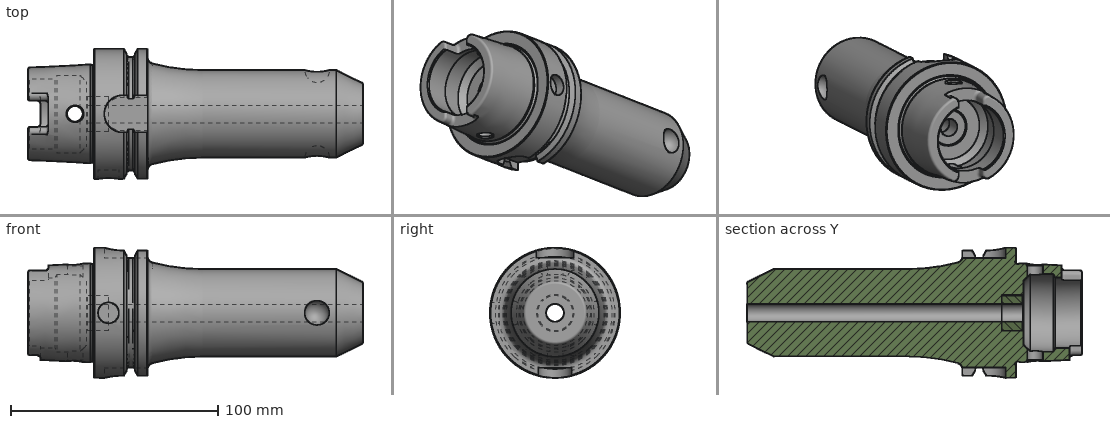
import cadquery as cq
import math


cutter_margin = 1.0

shank_length = 31.9
reach = 130.0
flange_width = 26.0
x_shank_end = -shank_length

taper_large_radius = 24.0
taper_large_x = -1.8
taper_slope = 1 / 20
taper_small_radius = taper_large_radius - taper_slope * (shank_length + taper_large_x)
shank_nose_fillet = 1.2
relief_radius = 23.6
relief_runout = 0.9
relief_land = 0.4
face_recess_radius = 25.3
face_recess_depth = 0.5

flange_radius = 31.5
flange_chamfer = 0.4
groove_center_x = 17.8
groove_floor_radius = 27.5
groove_half_width = 1.875
groove_shoulder_radius = 28.9
groove_flare_angle = 30
groove_flare = (flange_radius - groove_shoulder_radius) * math.tan(math.radians(groove_flare_angle))
groove_floor_fillet = 0.9

body_radius = 21.2
body_start_x = 52.5
neck_curve_radius = 95.0
neck_fillet = 2.9
nose_start_x = 117.0
nose_end_radius = 14.8
nose_fillet = 1.3

bore_radius = 17.0
bore_chamfer = 0.6
bore_lip_length = 13.0
undercut_radius = 18.75
undercut_angle = 60
undercut_runout = (undercut_radius - bore_radius) / math.tan(math.radians(undercut_angle))
bore_floor_radius = 15.6
bore_floor_cone = undercut_radius - bore_floor_radius
bore_depth = 28.2

socket_radius = 8.5
socket_chamfer = 0.5
plug_length = 10.0
passage_radius = 4.25

drive_slot_half_width = 6.25
drive_slot_depths = {1: 9.9, -1: 6.0}
drive_slot_round = 2.5
rolloff_allowance = 0.1
drive_slot_rolloff_radius = taper_small_radius + rolloff_allowance
drive_slot_floor_fillet = 1.5

key_slot_floor = 26.5
key_slot_start_x = 5.0
key_slot_widths = {1: 18.0, -1: 16.0}

access_hole_x = -9.2
access_hole_radius = 3.75
access_hole_chamfer = 0.5
chip_hole_x = 7.0
chip_hole_radius = 5.05
chip_hole_depth = 4.6
dimple_x = 107.7
dimple_radius = 5.95


def revolve_about_x(profile):
    return profile.close().revolve(360, (0, 0, 0), (1, 0, 0))


def outer_blank():
    """Solid of revolution; the neck curve meets the flange face through a tangent fillet."""
    neck_center_r = body_radius + neck_curve_radius
    fillet_center_x = flange_width + neck_fillet
    centers_dx = body_start_x - fillet_center_x
    centers_dr = math.sqrt((neck_curve_radius - neck_fillet) ** 2 - centers_dx**2)
    fillet_center_r = neck_center_r - centers_dr
    tangent_angle = math.atan2(centers_dr, centers_dx)

    def neck_point(angle):
        return (body_start_x - neck_curve_radius * math.cos(angle),
                neck_center_r - neck_curve_radius * math.sin(angle))

    def fillet_point(angle):
        return (fillet_center_x - neck_fillet * math.cos(angle),
                fillet_center_r - neck_fillet * math.sin(angle))

    profile = (
        cq.Workplane("XZ")
        .moveTo(x_shank_end, 0)
        .lineTo(x_shank_end, taper_small_radius)
        .lineTo(taper_large_x, taper_large_radius)
        .lineTo(taper_large_x + relief_runout, relief_radius)
        .lineTo(taper_large_x + relief_runout + relief_land, relief_radius)
        .lineTo(face_recess_depth, relief_radius + 2 * face_recess_depth)
        .lineTo(face_recess_depth, face_recess_radius - face_recess_depth)
        .lineTo(0, face_recess_radius)
        .lineTo(0, flange_radius - flange_chamfer)
        .lineTo(flange_chamfer, flange_radius)
        .lineTo(flange_width - flange_chamfer, flange_radius)
        .lineTo(flange_width, flange_radius - flange_chamfer)
        .lineTo(*fillet_point(0))
        .threePointArc(fillet_point(tangent_angle / 2), fillet_point(tangent_angle))
        .threePointArc(neck_point((tangent_angle + math.pi / 2) / 2), (body_start_x, body_radius))
        .lineTo(nose_start_x, body_radius)
        .lineTo(reach, nose_end_radius)
        .lineTo(reach, 0)
    )
    return revolve_about_x(profile).faces(">X").edges().fillet(nose_fillet)


def gripper_groove():
    outer_half_width = groove_half_width + groove_flare
    profile = (
        cq.Workplane("XZ")
        .moveTo(groove_center_x - outer_half_width, flange_radius)
        .lineTo(groove_center_x - groove_half_width, groove_shoulder_radius)
        .lineTo(groove_center_x - groove_half_width, groove_floor_radius)
        .lineTo(groove_center_x + groove_half_width, groove_floor_radius)
        .lineTo(groove_center_x + groove_half_width, groove_shoulder_radius)
        .lineTo(groove_center_x + outer_half_width, flange_radius)
        .lineTo(groove_center_x + outer_half_width, flange_radius + cutter_margin)
        .lineTo(groove_center_x - outer_half_width, flange_radius + cutter_margin)
    )
    ring = revolve_about_x(profile)
    floor_edges = cq.selectors.RadiusNthSelector(0)
    return ring.edges(floor_edges).fillet(groove_floor_fillet)


def clamping_bore():
    """Shank bore with its undercut, the plug socket and the central passage."""
    floor_x = x_shank_end + bore_depth
    lip_end_x = x_shank_end + bore_lip_length
    profile = (
        cq.Workplane("XZ")
        .moveTo(x_shank_end, 0)
        .lineTo(x_shank_end, bore_radius + bore_chamfer)
        .lineTo(x_shank_end + bore_chamfer, bore_radius)
        .lineTo(lip_end_x, bore_radius)
        .lineTo(lip_end_x + undercut_runout, undercut_radius)
        .lineTo(floor_x - bore_floor_cone, undercut_radius)
        .lineTo(floor_x, bore_floor_radius)
        .lineTo(floor_x, socket_radius + socket_chamfer)
        .lineTo(floor_x + socket_chamfer, socket_radius)
        .lineTo(floor_x + socket_chamfer + plug_length, socket_radius)
        .lineTo(floor_x + socket_chamfer + plug_length, passage_radius)
        .lineTo(reach, passage_radius)
        .lineTo(reach, 0)
    )
    return revolve_about_x(profile)


def drive_slot(side):
    """Slot through the shank wall whose walls roll over into the taper."""
    round_center_y = drive_slot_half_width + drive_slot_round
    round_center_z = math.sqrt((drive_slot_rolloff_radius - drive_slot_round) ** 2 - round_center_y**2)
    tangent_angle = math.atan2(round_center_z, round_center_y)
    mid_angle = (math.pi + tangent_angle) / 2
    inner_z = bore_floor_radius / 2

    def round_point(angle):
        return (round_center_y + drive_slot_round * math.cos(angle),
                round_center_z + drive_slot_round * math.sin(angle))

    def mirrored(point):
        return (-point[0], point[1])

    outer_corner = (flange_radius * math.cos(tangent_angle), flange_radius * math.sin(tangent_angle))
    cutter = (
        cq.Workplane("YZ", origin=(x_shank_end, 0, 0))
        .moveTo(-drive_slot_half_width, inner_z)
        .lineTo(drive_slot_half_width, inner_z)
        .lineTo(*round_point(math.pi))
        .threePointArc(round_point(mid_angle), round_point(tangent_angle))
        .lineTo(*outer_corner)
        .lineTo(*mirrored(outer_corner))
        .lineTo(*mirrored(round_point(tangent_angle)))
        .threePointArc(mirrored(round_point(mid_angle)), mirrored(round_point(math.pi)))
        .close()
        .extrude(drive_slot_depths[side])
    )
    rolled_wall = cq.selectors.BoxSelector(
        (x_shank_end, -round_center_y - drive_slot_round, inner_z + cutter_margin),
        (reach, round_center_y + drive_slot_round, taper_small_radius),
    )
    cutter = cutter.faces(">X").edges(rolled_wall).fillet(drive_slot_floor_fillet)
    return cutter if side > 0 else cutter.rotate((0, 0, 0), (1, 0, 0), 180)


def key_slot(side):
    width = key_slot_widths[side]
    end_center_x = key_slot_start_x + width / 2
    straight = flange_width - end_center_x
    height = flange_radius - key_slot_floor
    base = cq.Workplane("XY", origin=(end_center_x, 0, side * key_slot_floor))
    rounded_end = base.circle(width / 2).extrude(side * height)
    channel = base.center(straight / 2, 0).rect(straight, width).extrude(side * height)
    return rounded_end.union(channel)


def access_hole(side):
    surface_z = taper_large_radius + taper_slope * (access_hole_x - taper_large_x)
    base = cq.Workplane("XY", origin=(access_hole_x, 0, 0))
    hole = base.circle(access_hole_radius).extrude(side * flange_radius)
    countersink = (
        cq.Workplane("XY", origin=(access_hole_x, 0, side * surface_z))
        .circle(access_hole_radius + access_hole_chamfer)
        .workplane(offset=-side * 2 * access_hole_chamfer)
        .circle(access_hole_radius)
        .loft()
    )
    return hole.union(countersink)


def chip_hole():
    return (
        cq.Workplane("XZ", origin=(chip_hole_x, -flange_radius, 0))
        .circle(chip_hole_radius)
        .extrude(-chip_hole_depth)
    )


def dimple(side):
    center = (dimple_x, side * body_radius, 0)
    return cq.Workplane("XZ", origin=center).sphere(dimple_radius)


def round_fingers(holder):
    """Round the shank end along the taper and the drive slot walls, before the bore is cut."""
    return holder.faces("<X").edges("not(|Y)").fillet(shank_nose_fillet)


def make_holder():
    holder = outer_blank().cut(gripper_groove())
    for side in (1, -1):
        holder = holder.cut(drive_slot(side))
    holder = round_fingers(holder).cut(clamping_bore())
    for side in (1, -1):
        holder = holder.cut(key_slot(side)).cut(access_hole(side)).cut(dimple(side))
    return holder.cut(chip_hole())


def make_plug():
    mouth_x = x_shank_end + bore_depth + socket_chamfer
    return (
        cq.Workplane("YZ", origin=(mouth_x, 0, 0))
        .circle(socket_radius)
        .circle(passage_radius)
        .extrude(plug_length)
    )


holder = make_holder()
plug = make_plug()
result = cq.Compound.makeCompound([holder.val(), plug.val()])